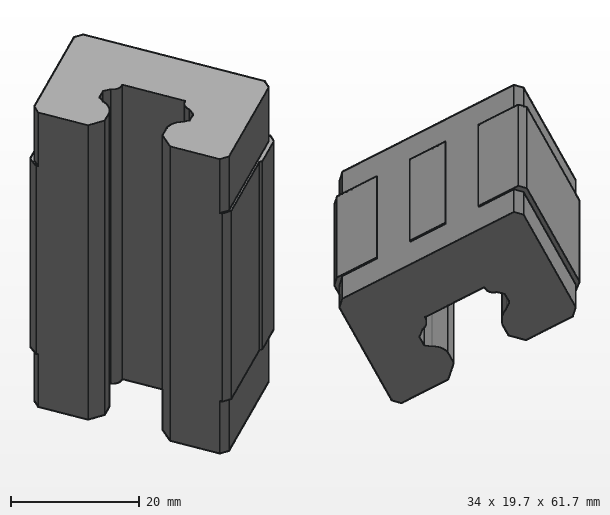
import cadquery as cq

LENGTH = 61.7
WIDTH = 34.0
HEIGHT = 19.7

BLOCK_BOTTOM = 11.0
BLOCK_LENGTH = 39.4
BLOCK_TOP = BLOCK_BOTTOM + BLOCK_LENGTH
BACK_CHAMFER = 1.0
LEFT_CHAMFER_X = 1.5
LEFT_CHAMFER_Y = 1.25
RIGHT_CHAMFER = 1.1

RELIEF_DEPTH = 0.4
RELIEF_TOP = 13.7

CAP_WIDTH = 32.5
CAP_HEIGHT = 19.5
CAP_CHAMFER = 1.1

BACK_GROOVE_X = 6.05
BACK_GROOVE_WIDTH = 5.85
BACK_GROOVE_DEPTH = HEIGHT - CAP_HEIGHT

MOUTH_HALF = 6.85
NECK_BOTTOM = 2.0
NECK_HALF = 4.8
NECK_TOP = 4.0
LIP_HALF = 6.55
LOWER_LIP_Y = 6.0
UPPER_LIP_Y = 9.15
GROOVE_HALF = 7.5
GROOVE_BOTTOM = 6.7
GROOVE_TOP = 8.25
CEILING_HALF = 5.25
CEILING = 10.75
UPPER_ARC_TOP = 10.5
LOWER_ARC_MIDDLE = (5.4, 5.2)
UPPER_ARC_MIDDLE = (5.7, 9.55)


def block_outline():
    """Block cross-section without the channel."""
    half = WIDTH / 2
    relieved = half - RELIEF_DEPTH
    return [
        (-half + LEFT_CHAMFER_X, 0),
        (relieved - RIGHT_CHAMFER, 0),
        (relieved, RIGHT_CHAMFER),
        (relieved, RELIEF_TOP - RELIEF_DEPTH),
        (half, RELIEF_TOP),
        (half, HEIGHT - BACK_CHAMFER),
        (half - BACK_CHAMFER, HEIGHT),
        (-half + BACK_CHAMFER, HEIGHT),
        (-half, HEIGHT - BACK_CHAMFER),
        (-half, LEFT_CHAMFER_Y),
    ]


def channel():
    """Solid filling the rail channel over the whole length."""
    half = (
        cq.Workplane("XY")
        .moveTo(0, 0)
        .lineTo(MOUTH_HALF, 0)
        .lineTo(NECK_HALF, NECK_BOTTOM)
        .lineTo(NECK_HALF, NECK_TOP)
        .threePointArc(LOWER_ARC_MIDDLE, (LIP_HALF, LOWER_LIP_Y))
        .lineTo(GROOVE_HALF, GROOVE_BOTTOM)
        .lineTo(GROOVE_HALF, GROOVE_TOP)
        .lineTo(LIP_HALF, UPPER_LIP_Y)
        .threePointArc(UPPER_ARC_MIDDLE, (CEILING_HALF, UPPER_ARC_TOP))
        .lineTo(CEILING_HALF, CEILING)
        .lineTo(0, CEILING)
        .close()
        .extrude(LENGTH)
    )
    return half.union(half.mirror("YZ"))


def block():
    """Middle block with two shallow grooves along its back, leaving three raised lands."""
    body = (
        cq.Workplane("XY", origin=(0, 0, BLOCK_BOTTOM))
        .polyline(block_outline())
        .close()
        .extrude(BLOCK_LENGTH)
    )
    grooves = (
        cq.Workplane("XY", origin=(0, HEIGHT - BACK_GROOVE_DEPTH / 2, BLOCK_BOTTOM))
        .pushPoints([(-BACK_GROOVE_X, 0), (BACK_GROOVE_X, 0)])
        .rect(BACK_GROOVE_WIDTH, BACK_GROOVE_DEPTH)
        .extrude(BLOCK_LENGTH)
    )
    return body.cut(grooves)


def end_cap(bottom, top):
    """End cap with chamfered long edges."""
    return (
        cq.Workplane("XY", origin=(0, CAP_HEIGHT / 2, bottom))
        .rect(CAP_WIDTH, CAP_HEIGHT)
        .extrude(top - bottom)
        .edges("|Z")
        .chamfer(CAP_CHAMFER)
    )


body = block().union(end_cap(0, BLOCK_BOTTOM)).union(end_cap(BLOCK_TOP, LENGTH))
result = body.cut(channel()).clean()